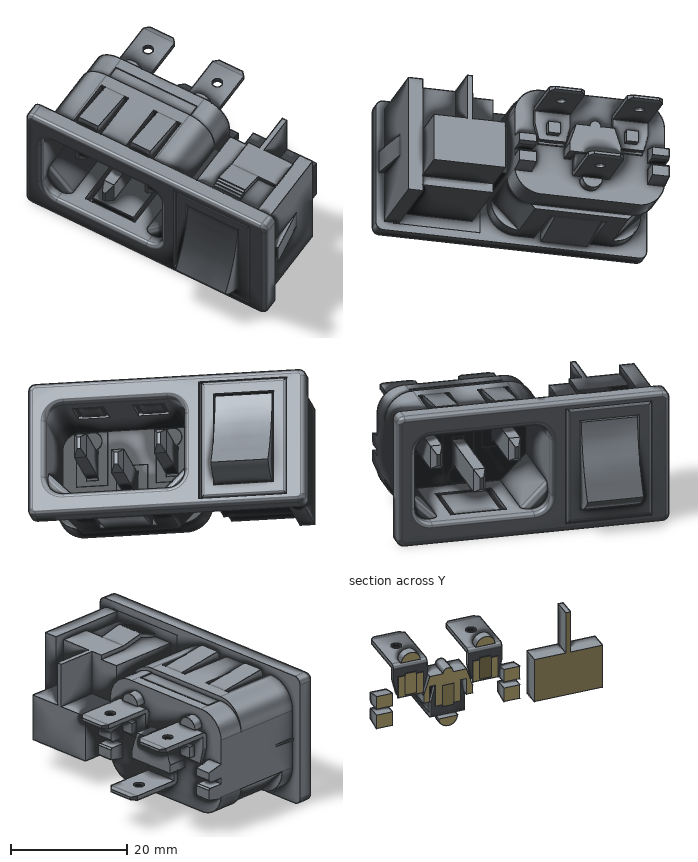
import cadquery as cq
import math


BEZEL_WIDTH = 48.5
BEZEL_HEIGHT = 24.0
BEZEL_DEPTH = 3.1
BEZEL_CORNER = 1.25
EDGE_ROUND = 0.82

INLET_X = 15.25
BODY_WIDTH = 26.8
BODY_HALF_HEIGHT = 10.45
BODY_MID_Y = 15.65
BODY_BACK_Y = 20.5
BODY_SIDE_Z = 5.4
BODY_CORNER = BODY_HALF_HEIGHT - BODY_SIDE_Z
REAR_HALF_HEIGHT = 9.65
CORNER_CUT_Y = 5.67
BODY_LEFT = INLET_X - BODY_WIDTH / 2
BODY_RIGHT = INLET_X + BODY_WIDTH / 2

REAR_PANEL_WIDTH = 16.35
REAR_PANEL_LENGTH = 2.8
REAR_PANEL_DEPTH = 0.15

CAVITY_WIDTH = 24.15
CAVITY_HALF_HEIGHT = 8.05
CAVITY_CORNER = 2.95
CAVITY_FLOOR_Y = 16.5
KEY_LEG = 4.6
KEY_FRONT_Y = 2.2
KEY_ROUND = 1.15

TERMINAL_PITCH = 7.0
TAB_Z = 5.65
TAB_WIDTH = 6.3
TAB_END_Y = 31.6
TAB_TIP_WIDTH = 4.7
TAB_TIP_LENGTH = 0.9
TAB_TIP_THICKNESS = 0.5
TAB_HOLE = 1.85
TAB_HOLE_Y = 27.1
SHEET = 0.82
BEND_RADIUS = 0.8
PLATE_FRONT_Y = 20.85
PLATE_NECK_Z = 2.85
PLATE_END_WIDTH = 4.85
BLADE_WIDTH = 2.1
BLADE_HEIGHT = 4.2
BLADE_Z = 2.015
EARTH_BLADE_TIP_Y = 1.05
POWER_BLADE_TIP_Y = 3.7
BLADE_TAPER = 1.65
BLADE_TIP_WIDTH = 0.65
BLADE_TIP_HEIGHT = 2.15
RIVET_HEIGHT = 2.05
RIVET_END_Y = 22.9

SEAT_WIDTH = 5.5
SEAT_END_Z = -1.7
SEAT_DEPTH = 0.15
SLOT_HEIGHT = 5.35
SLOT_DEPTH = 0.5
BORE_Z = 6.4
BORE_RADIUS = 1.7
BORE_DEPTH = 0.3
PAD_WIDTH = 4.75
PAD_TOP_Z = 3.75
PAD_BOTTOM_Z = -0.5
POST_RADIUS = 1.8
POST_Z = 6.3
POST_END_Y = 22.25

CLIP_ROOT_Y = 13.35
CLIP_FREE_Y = 4.05
CLIP_CREST_Y = 4.55
CLIP_CREST_Z = 11.6
CLIP_INNER_Z = 8.4
TOP_CLIP_OFFSET = 5.26
TOP_CLIP_WIDTH = 3.95
TOP_SLOT_WIDTH = 5.5
BOTTOM_CLIP_WIDTH = 8.25
BOTTOM_SLOT_WIDTH = 10.0
SLOT_LEDGES = [(10.1, 9.15), (9.0, 8.6)]

HOOD_END_Y = 24.15
HOOD_TOP_Z = 2.5
HOOD_SHOULDER_Z = -1.0
HOOD_BOTTOM_Z = -2.6
HOOD_TOP_WIDTH = 6.9
HOOD_WIDTH = 9.2
HOOD_RIDGE_RADIUS = 0.95
HOOD_INNER_WIDTH = 6.8
HOOD_INNER_TOP_Z = 0.5
HOOD_WALL = 0.75
EAR_WIDTH = 3.0
EAR_END_Y = 23.5
UPPER_EAR = [
    (BODY_BACK_Y, 0.82),
    (EAR_END_Y, 0.1),
    (EAR_END_Y, -1.3),
    (23.05, -1.8),
    (BODY_BACK_Y, -1.8),
]
LOWER_EAR = [
    (BODY_BACK_Y, -2.9),
    (23.25, -2.9),
    (EAR_END_Y, -3.2),
    (EAR_END_Y, -5.05),
    (BODY_BACK_Y, -5.7),
]

OPENING_LEFT = 29.9
OPENING_RIGHT = 45.3
OPENING_HALF_HEIGHT = 10.55
BRIDGE_HALF_HEIGHT = 4.35
WALL_LEFT = 44.4
WALL_RIGHT = 46.95
WALL_BACK_Y = 18.05
SIDE_CLIP_WIDTH = 3.95
SIDE_CLIP_RISE_Y = 12.7
SIDE_CLIP_CREST_Y = 4.4
SIDE_CLIP_END_Y = 4.25
SIDE_CLIP_REACH = 1.35
RIB_LENGTH = 4.0
RIB_REACH = 0.3
RIB_THICKNESS = 0.4

FLANGE_LEFT = 30.2
FLANGE_ROUND = 0.6
FLANGE_STEP_Y = 0.82
CASE_LEFT = 31.35
CASE_RIGHT = 44.1
CASE_HALF_HEIGHT = 8.65
CASE_BACK_Y = 16.45
LATCH_LEFT = 34.95
LATCH_RIGHT = 40.3
LATCH_TOP_Z = 9.45
LATCH_SLOPE_Y = 10.95
LATCH_CREST_Y = 6.6
LATCH_CREST_Z = 10.5
LATCH_STEPS = 6
STEP_LENGTH = 0.55
STEP_DROP = 0.2
BASE_BACK_Y = 24.0
BASE_TOP_Z = 1.45
BASE_BOTTOM_Z = -7.0
BARRIER_LEFT = 37.2
BARRIER_WIDTH = 0.9
BARRIER_TOP_Z = 9.45
WINDOW_X = 37.75
WINDOW_WIDTH = 10.55
WINDOW_HALF_HEIGHT = 8.25
WINDOW_DEPTH = 2.65

ROCKER_WIDTH = 10.0
ROCKER_TOP_Z = 7.85
ROCKER_TOP_Y = 0.2
ROCKER_MID = (-1.25, 0.5)
ROCKER_NOSE = (-3.95, -5.45)
ROCKER_CHIN = (-2.25, -7.2)
ROCKER_FOOT = (0.5, -8.15)


def box(x0, x1, y0, y1, z0, z1):
    """Box between two limits on each axis."""
    return cq.Workplane("XY").box(x1 - x0, y1 - y0, z1 - z0, centered=False).translate((x0, y0, z0))


def facing_front(y):
    """Sketch plane at depth y: local X is X, local Y is Z, and negative extrusion goes into the panel."""
    return cq.Workplane(cq.Plane((0, y, 0), xDir=(1, 0, 0), normal=(0, -1, 0)))


def profile_yz(points, x0, x1):
    """Outline of (Y, Z) points swept from x0 to x1."""
    return cq.Workplane("YZ").polyline(points).close().extrude(x1 - x0).translate((x0, 0, 0))


def profile_xy(points, z0, z1):
    """Outline of (X, Y) points swept from z0 to z1."""
    return cq.Workplane("XY").polyline(points).close().extrude(z1 - z0).translate((0, 0, z0))


def flipped(solid):
    """The same shape upside down about the inlet axis."""
    return solid.mirror("XY")


def terminal_places():
    """X position, blade tip depth and whether upside down, for each terminal."""
    return [
        (INLET_X - TERMINAL_PITCH, POWER_BLADE_TIP_Y, False),
        (INLET_X, EARTH_BLADE_TIP_Y, True),
        (INLET_X + TERMINAL_PITCH, POWER_BLADE_TIP_Y, False),
    ]


def placed(solid, x, upside_down):
    return (flipped(solid) if upside_down else solid).translate((x, 0, 0))


def blade(tip_y):
    root_y = tip_y + BLADE_TAPER
    tip = (
        facing_front(tip_y)
        .center(0, BLADE_Z)
        .rect(BLADE_TIP_WIDTH, BLADE_TIP_HEIGHT)
        .workplane(offset=-BLADE_TAPER)
        .rect(BLADE_WIDTH, BLADE_HEIGHT)
        .loft()
    )
    shank = facing_front(root_y).center(0, BLADE_Z).rect(BLADE_WIDTH, BLADE_HEIGHT)
    shank = shank.extrude(root_y - PLATE_FRONT_Y)
    rivet = facing_front(PLATE_FRONT_Y).center(0, BLADE_Z).rect(BLADE_WIDTH, RIVET_HEIGHT)
    return tip.union(shank).union(rivet.extrude(PLATE_FRONT_Y - RIVET_END_Y))


def plate():
    half = TAB_WIDTH / 2
    half_end = PLATE_END_WIDTH / 2
    outline = [
        (-half, TAB_Z + SHEET / 2),
        (half, TAB_Z + SHEET / 2),
        (half, PLATE_NECK_Z),
        (half_end, 0),
        (-half_end, 0),
        (-half, PLATE_NECK_Z),
    ]
    return facing_front(PLATE_FRONT_Y).polyline(outline).close().extrude(-SHEET)


def tab():
    shoulder_y = TAB_END_Y - TAB_TIP_LENGTH
    half = TAB_WIDTH / 2
    bottom = TAB_Z - SHEET / 2
    strip = box(-half, half, PLATE_FRONT_Y, shoulder_y, bottom, bottom + SHEET)
    tip = (
        facing_front(shoulder_y)
        .center(0, TAB_Z)
        .rect(TAB_WIDTH, SHEET)
        .workplane(offset=-TAB_TIP_LENGTH)
        .rect(TAB_TIP_WIDTH, TAB_TIP_THICKNESS)
        .loft()
    )
    hole = cq.Workplane("XY").center(0, TAB_HOLE_Y).circle(TAB_HOLE / 2).extrude(BEZEL_HEIGHT)
    return strip.union(tip).cut(hole)


def terminal(tip_y):
    bend = cq.selectors.NearestToPointSelector((0, PLATE_FRONT_Y, TAB_Z + SHEET / 2))
    bent = plate().union(tab()).edges("|X").edges(bend).fillet(BEND_RADIUS)
    return bent.union(blade(tip_y))


def bezel():
    frame = box(0, BEZEL_WIDTH, 0, BEZEL_DEPTH, -BEZEL_HEIGHT / 2, BEZEL_HEIGHT / 2)
    return frame.edges("|Y").fillet(BEZEL_CORNER).faces("<Y").edges().fillet(EDGE_ROUND)


def front_section():
    block = box(BODY_LEFT, BODY_RIGHT, BEZEL_DEPTH, BODY_MID_Y, -BODY_HALF_HEIGHT, BODY_HALF_HEIGHT)
    rounded = block.edges("|Y").fillet(BODY_CORNER)
    chamfered = block.edges("|Y and <Z").chamfer(BODY_CORNER)
    chamfered = chamfered.edges("|Y and >Z").fillet(BODY_CORNER)
    behind = box(0, BEZEL_WIDTH, CORNER_CUT_Y, BODY_MID_Y, -BEZEL_HEIGHT, BEZEL_HEIGHT)
    return rounded.cut(behind).union(chamfered.intersect(behind))


def rear_section():
    """Rear block whose corners are shallow arcs ending level with the front section's corners."""
    flat = BODY_WIDTH / 2 - BODY_CORNER
    side = BODY_WIDTH / 2
    top = REAR_HALF_HEIGHT
    diagonal = math.sqrt(0.5)
    knee_x = flat + BODY_CORNER * diagonal
    knee_z = BODY_SIDE_Z + (top - BODY_SIDE_Z) * diagonal
    outline = (
        facing_front(BODY_MID_Y)
        .center(INLET_X, 0)
        .moveTo(-flat, top)
        .lineTo(flat, top)
        .threePointArc((knee_x, knee_z), (side, BODY_SIDE_Z))
        .lineTo(side, -BODY_SIDE_Z)
        .threePointArc((knee_x, -knee_z), (flat, -top))
        .lineTo(-flat, -top)
        .threePointArc((-knee_x, -knee_z), (-side, -BODY_SIDE_Z))
        .lineTo(-side, BODY_SIDE_Z)
        .threePointArc((-knee_x, knee_z), (-flat, top))
        .close()
    )
    panel = box(
        INLET_X - REAR_PANEL_WIDTH / 2, INLET_X + REAR_PANEL_WIDTH / 2,
        BODY_MID_Y, BODY_MID_Y + REAR_PANEL_LENGTH,
        REAR_HALF_HEIGHT - REAR_PANEL_DEPTH, BODY_HALF_HEIGHT,
    )
    return outline.extrude(BODY_MID_Y - BODY_BACK_Y).cut(panel)


def cavity():
    """Plug space, with flat lower corners that round over toward the front."""
    left = INLET_X - CAVITY_WIDTH / 2
    right = INLET_X + CAVITY_WIDTH / 2
    low = -CAVITY_HALF_HEIGHT
    space = box(left, right, 0, CAVITY_FLOOR_Y, low, -low).edges("|Y").fillet(CAVITY_CORNER)
    for corner, inward in ((left, 1), (right, -1)):
        triangle = [(corner, low), (corner + inward * KEY_LEG, low), (corner, low + KEY_LEG)]
        key = facing_front(KEY_FRONT_Y).polyline(triangle).close().extrude(KEY_FRONT_Y - CAVITY_FLOOR_Y)
        middle = (corner + inward * KEY_LEG / 2, KEY_FRONT_Y, low + KEY_LEG / 2)
        key = key.edges(cq.selectors.NearestToPointSelector(middle)).fillet(KEY_ROUND)
        space = space.cut(key)
    return space


def cavity_rim():
    """Rounded flare where the cavity meets the bezel face."""
    outer = box(
        INLET_X - CAVITY_WIDTH / 2 - EDGE_ROUND, INLET_X + CAVITY_WIDTH / 2 + EDGE_ROUND, 0, EDGE_ROUND,
        -CAVITY_HALF_HEIGHT - EDGE_ROUND, CAVITY_HALF_HEIGHT + EDGE_ROUND,
    ).edges("|Y").fillet(CAVITY_CORNER + EDGE_ROUND)
    lip_path = (
        facing_front(EDGE_ROUND)
        .center(INLET_X, 0)
        .rect(CAVITY_WIDTH + 2 * EDGE_ROUND, 2 * (CAVITY_HALF_HEIGHT + EDGE_ROUND))
        .extrude(EDGE_ROUND)
        .edges("|Y")
        .fillet(CAVITY_CORNER + EDGE_ROUND)
        .faces(">Y")
        .wires()
    )
    start = (INLET_X, EDGE_ROUND, -CAVITY_HALF_HEIGHT - EDGE_ROUND)
    section = cq.Workplane(cq.Plane(start, xDir=(0, 1, 0), normal=(1, 0, 0))).circle(EDGE_ROUND)
    return outer.cut(section.sweep(lip_path, transition="round"))


def seat():
    """Shallow recesses of one terminal in the cavity floor."""
    floor = CAVITY_FLOOR_Y
    half = SEAT_WIDTH / 2
    pocket = box(-half, half, floor, floor + SEAT_DEPTH, SEAT_END_Z, CAVITY_HALF_HEIGHT)
    slot = facing_front(floor).center(0, BLADE_Z).rect(BLADE_WIDTH, SLOT_HEIGHT).extrude(-SLOT_DEPTH)
    bore = facing_front(floor).center(0, BORE_Z).circle(BORE_RADIUS).extrude(-BORE_DEPTH)
    room = box(-half, half, floor, BODY_BACK_Y, -CAVITY_HALF_HEIGHT, CAVITY_HALF_HEIGHT)
    return pocket.union(slot).union(bore.intersect(room))


def seat_back():
    """Raised pad and half-round post behind one terminal's seat."""
    half = PAD_WIDTH / 2
    pad = box(-half, half, BODY_BACK_Y, PLATE_FRONT_Y, PAD_BOTTOM_Z, PAD_TOP_Z)
    post = facing_front(BODY_BACK_Y).center(0, POST_Z).circle(POST_RADIUS).extrude(BODY_BACK_Y - POST_END_Y)
    upper_half = box(-POST_RADIUS, POST_RADIUS, BODY_BACK_Y, POST_END_Y, POST_Z, POST_Z + POST_RADIUS)
    return pad.union(post.intersect(upper_half))


def clip_slot(x, width):
    """Opening around a top clip, with ledges stepping up toward its root."""
    left = x - width / 2
    right = x + width / 2
    (upper_y, upper_z), (lower_y, lower_z) = SLOT_LEDGES
    outline = [
        (BEZEL_DEPTH, BEZEL_HEIGHT / 2),
        (BEZEL_DEPTH, CAVITY_HALF_HEIGHT),
        (lower_y, CAVITY_HALF_HEIGHT),
        (lower_y, lower_z),
        (upper_y, lower_z),
        (upper_y, upper_z),
        (CLIP_ROOT_Y, upper_z),
        (CLIP_ROOT_Y, BEZEL_HEIGHT / 2),
    ]
    return profile_yz(outline, left, right)


def clip(x, width):
    """Springy tongue rising from its root to a crest near the bezel."""
    outline = [
        (CLIP_ROOT_Y, CLIP_INNER_Z),
        (CLIP_ROOT_Y, BODY_HALF_HEIGHT),
        (CLIP_CREST_Y, CLIP_CREST_Z),
        (CLIP_FREE_Y, BODY_HALF_HEIGHT),
        (CLIP_FREE_Y, CLIP_INNER_Z),
    ]
    return profile_yz(outline, x - width / 2, x + width / 2)


def hood():
    """Ridged hood over the earth terminal's rivet, open underneath."""
    top = HOOD_TOP_WIDTH / 2
    side = HOOD_WIDTH / 2
    ridge = HOOD_RIDGE_RADIUS
    outline = (
        facing_front(BODY_BACK_Y)
        .center(INLET_X, 0)
        .moveTo(-top, HOOD_TOP_Z)
        .lineTo(-ridge, HOOD_TOP_Z)
        .threePointArc((0, HOOD_TOP_Z + ridge), (ridge, HOOD_TOP_Z))
        .lineTo(top, HOOD_TOP_Z)
        .lineTo(side, HOOD_SHOULDER_Z)
        .lineTo(side, HOOD_BOTTOM_Z)
        .lineTo(-side, HOOD_BOTTOM_Z)
        .lineTo(-side, HOOD_SHOULDER_Z)
        .close()
    )
    inner = box(
        INLET_X - HOOD_INNER_WIDTH / 2, INLET_X + HOOD_INNER_WIDTH / 2,
        BODY_BACK_Y, HOOD_END_Y - HOOD_WALL, HOOD_BOTTOM_Z, HOOD_INNER_TOP_Z,
    )
    return outline.extrude(BODY_BACK_Y - HOOD_END_Y).cut(inner)


def ears(x):
    """Upper and lower guard ear starting at x."""
    upper = profile_yz(UPPER_EAR, x, x + EAR_WIDTH)
    lower = profile_yz(LOWER_EAR, x, x + EAR_WIDTH)
    return upper.union(lower)


def switch_surround():
    """Bridge and outer wall beside the switch case, with the side clip."""
    bridge = box(BODY_RIGHT, CASE_LEFT, BEZEL_DEPTH, BODY_MID_Y, -BRIDGE_HALF_HEIGHT, BRIDGE_HALF_HEIGHT)
    wall = box(WALL_LEFT, WALL_RIGHT, BEZEL_DEPTH, WALL_BACK_Y, -BODY_HALF_HEIGHT, BODY_HALF_HEIGHT)
    wedge = [
        (WALL_RIGHT, SIDE_CLIP_RISE_Y),
        (WALL_RIGHT + SIDE_CLIP_REACH, SIDE_CLIP_CREST_Y),
        (WALL_RIGHT, SIDE_CLIP_END_Y),
    ]
    side_clip = profile_xy(wedge, -SIDE_CLIP_WIDTH / 2, SIDE_CLIP_WIDTH / 2)
    return bridge.union(wall).union(side_clip)


def side_rib():
    """Thin crush rib on the left side, tapering away from the bezel."""
    outline = [
        (BODY_LEFT, BEZEL_DEPTH),
        (BODY_LEFT - RIB_REACH, BEZEL_DEPTH),
        (BODY_LEFT, BEZEL_DEPTH + RIB_LENGTH),
    ]
    return profile_xy(outline, -RIB_THICKNESS / 2, RIB_THICKNESS / 2)


def make_housing():
    shape = bezel().union(front_section()).union(rear_section())
    shape = shape.union(switch_surround()).union(side_rib())
    shape = shape.union(ears(BODY_LEFT)).union(ears(BODY_RIGHT - EAR_WIDTH)).union(hood())
    shape = shape.cut(cavity()).cut(cavity_rim())
    shape = shape.cut(box(
        OPENING_LEFT, OPENING_RIGHT, 0, BEZEL_DEPTH, -OPENING_HALF_HEIGHT, OPENING_HALF_HEIGHT,
    ))
    for x in (INLET_X - TOP_CLIP_OFFSET, INLET_X + TOP_CLIP_OFFSET):
        shape = shape.cut(clip_slot(x, TOP_SLOT_WIDTH)).union(clip(x, TOP_CLIP_WIDTH))
    shape = shape.cut(flipped(box(
        INLET_X - BOTTOM_SLOT_WIDTH / 2, INLET_X + BOTTOM_SLOT_WIDTH / 2, BEZEL_DEPTH, CLIP_ROOT_Y,
        CAVITY_HALF_HEIGHT, BEZEL_HEIGHT / 2,
    )))
    shape = shape.union(flipped(clip(INLET_X, BOTTOM_CLIP_WIDTH)))
    for x, tip_y, upside_down in terminal_places():
        shape = shape.cut(placed(seat(), x, upside_down))
        shape = shape.union(placed(seat_back(), x, upside_down))
        shape = shape.cut(placed(blade(tip_y), x, upside_down))
    return shape


def switch_latch():
    """Raised shelf with a rising tongue that ends in a stepped grip."""
    thickness = LATCH_TOP_Z - CASE_HALF_HEIGHT
    end_y = LATCH_CREST_Y - LATCH_STEPS * STEP_LENGTH
    shelf = box(LATCH_LEFT, CASE_RIGHT, LATCH_SLOPE_Y, CASE_BACK_Y, CASE_HALF_HEIGHT, LATCH_TOP_Z)
    outline = [
        (LATCH_SLOPE_Y, CASE_HALF_HEIGHT),
        (LATCH_SLOPE_Y, LATCH_TOP_Z),
        (LATCH_CREST_Y, LATCH_CREST_Z),
    ]
    for step in range(LATCH_STEPS):
        y = LATCH_CREST_Y - step * STEP_LENGTH
        z = LATCH_CREST_Z - (step + 1) * STEP_DROP
        outline.append((y, z))
        outline.append((y - STEP_LENGTH, z))
    outline.append((end_y, CASE_HALF_HEIGHT))
    outline.append((LATCH_CREST_Y, LATCH_CREST_Z - thickness))
    return shelf.union(profile_yz(outline, LATCH_LEFT, LATCH_RIGHT))


def make_switch_case():
    flange = box(
        FLANGE_LEFT, OPENING_RIGHT, 0, BEZEL_DEPTH, -OPENING_HALF_HEIGHT, OPENING_HALF_HEIGHT,
    ).faces("<Y").edges().fillet(FLANGE_ROUND)
    rear_flange = box(
        OPENING_LEFT, OPENING_RIGHT, FLANGE_STEP_Y, BEZEL_DEPTH, -OPENING_HALF_HEIGHT, OPENING_HALF_HEIGHT,
    )
    case = box(CASE_LEFT, CASE_RIGHT, BEZEL_DEPTH, CASE_BACK_Y, -CASE_HALF_HEIGHT, CASE_HALF_HEIGHT)
    base = box(CASE_LEFT, CASE_RIGHT, CASE_BACK_Y, BASE_BACK_Y, BASE_BOTTOM_Z, BASE_TOP_Z)
    barrier = box(
        BARRIER_LEFT, BARRIER_LEFT + BARRIER_WIDTH, CASE_BACK_Y, BASE_BACK_Y, BASE_BOTTOM_Z, BARRIER_TOP_Z,
    )
    window = box(
        WINDOW_X - WINDOW_WIDTH / 2, WINDOW_X + WINDOW_WIDTH / 2, 0, WINDOW_DEPTH,
        -WINDOW_HALF_HEIGHT, WINDOW_HALF_HEIGHT,
    )
    return flange.union(rear_flange).union(case).union(base).union(barrier).union(switch_latch()).cut(window)


def make_rocker():
    """Tilted rocker: hollowed face, protruding lower nose and rounded chin."""
    return (
        cq.Workplane("YZ")
        .moveTo(ROCKER_TOP_Y, ROCKER_TOP_Z)
        .threePointArc(ROCKER_MID, ROCKER_NOSE)
        .threePointArc(ROCKER_CHIN, ROCKER_FOOT)
        .lineTo(WINDOW_DEPTH, ROCKER_FOOT[1])
        .lineTo(WINDOW_DEPTH, ROCKER_TOP_Z)
        .close()
        .extrude(ROCKER_WIDTH / 2, both=True)
        .translate((WINDOW_X, 0, 0))
    )


housing = make_housing()
terminals = [placed(terminal(tip_y), x, upside_down) for x, tip_y, upside_down in terminal_places()]
switch_case = make_switch_case()
rocker = make_rocker()

result = cq.Compound.makeCompound(
    [
        housing.solids().val(),
        switch_case.solids().val(),
        rocker.solids().val(),
        *[each.solids().val() for each in terminals],
    ]
)